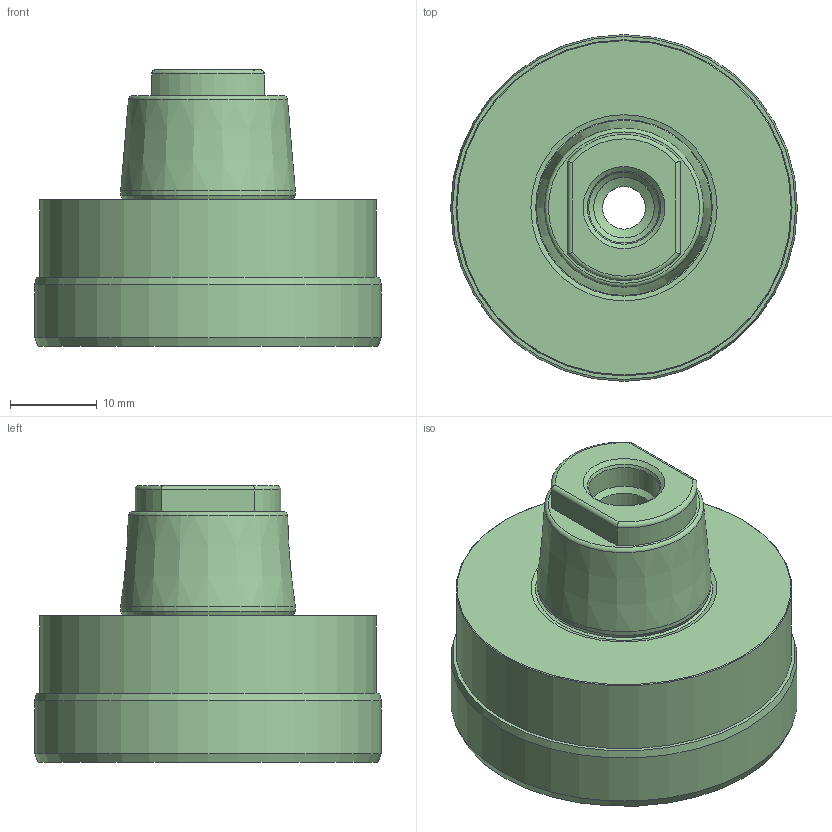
import cadquery as cq
import math

total_height = 31.95
shoulder_top = 17.0
tongue_height = 3.03
neck_top = total_height - tongue_height

rim_radius = 20.01
rim_top = 8.0
rim_bottom_chamfer_width = 0.4
rim_bottom_chamfer_height = 1.0
rim_top_chamfer_width = 0.2
rim_top_chamfer_height = 0.9
drum_radius = 19.4
drum_edge_chamfer = 0.1

neck_top_radius = 9.15
neck_base_radius = 10.08
neck_taper_base = shoulder_top + 0.95
neck_band_base = shoulder_top + 0.45
neck_foot_radius = 9.85
neck_foot_depth = 0.05
neck_edge_fillet = 0.45
groove_outer_radius = 10.75
groove_bottom_radius = 10.2
groove_depth = 0.17

tongue_radius = 8.43
tongue_width = 13.0
tongue_edge_fillet = 0.5

mouth_radius = 4.73
mouth_chamfer_radius = 4.23
mouth_chamfer_depth = 0.45
upper_bore_radius = 4.08
upper_bore_start = 0.8
upper_bore_depth = 3.45
lower_bore_radius = 3.5
lower_bore_depth = total_height - shoulder_top
through_radius = 2.47
step_chamfer = upper_bore_radius - lower_bore_radius
bore_cone_angle = 120.0
cone_height = (lower_bore_radius - through_radius) / math.tan(math.radians(bore_cone_angle / 2))


def make_base_and_neck():
    """Revolve the base, the groove and the neck as one profile."""
    profile = (
        cq.Workplane("XZ")
        .moveTo(0, 0)
        .lineTo(rim_radius - rim_bottom_chamfer_width, 0)
        .lineTo(rim_radius, rim_bottom_chamfer_height)
        .lineTo(rim_radius, rim_top - rim_top_chamfer_height)
        .lineTo(rim_radius - rim_top_chamfer_width, rim_top)
        .lineTo(drum_radius, rim_top)
        .lineTo(drum_radius, shoulder_top - drum_edge_chamfer)
        .lineTo(drum_radius - drum_edge_chamfer, shoulder_top)
        .lineTo(groove_outer_radius, shoulder_top)
        .lineTo(groove_bottom_radius, shoulder_top - groove_depth)
        .lineTo(neck_foot_radius, shoulder_top - neck_foot_depth)
        .lineTo(neck_base_radius, neck_band_base)
        .lineTo(neck_base_radius, neck_taper_base)
        .lineTo(neck_top_radius, neck_top)
        .lineTo(0, neck_top)
        .close()
    )
    body = profile.revolve(360, (0, 0, 0), (0, 1, 0))
    return body.faces(">Z").edges().fillet(neck_edge_fillet)


def make_tongue():
    """Round disc cut by two flats, with its top edge rounded."""
    disc = cq.Workplane("XY").workplane(offset=neck_top).circle(tongue_radius).extrude(tongue_height)
    flats = (
        cq.Workplane("XY")
        .workplane(offset=neck_top)
        .rect(tongue_width, 2 * tongue_radius)
        .extrude(tongue_height)
    )
    return disc.intersect(flats).faces(">Z").edges().fillet(tongue_edge_fillet)


def make_bore():
    """Solid of revolution that is removed to leave the stepped through bore."""
    profile = (
        cq.Workplane("XZ")
        .moveTo(0, total_height)
        .lineTo(mouth_radius, total_height)
        .lineTo(mouth_chamfer_radius, total_height - mouth_chamfer_depth)
        .lineTo(upper_bore_radius, total_height - upper_bore_start)
        .lineTo(upper_bore_radius, total_height - upper_bore_depth)
        .lineTo(lower_bore_radius, total_height - upper_bore_depth - step_chamfer)
        .lineTo(lower_bore_radius, total_height - lower_bore_depth)
        .lineTo(through_radius, total_height - lower_bore_depth - cone_height)
        .lineTo(through_radius, 0)
        .lineTo(0, 0)
        .close()
    )
    return profile.revolve(360, (0, 0, 0), (0, 1, 0))


result = make_base_and_neck().union(make_tongue()).cut(make_bore())